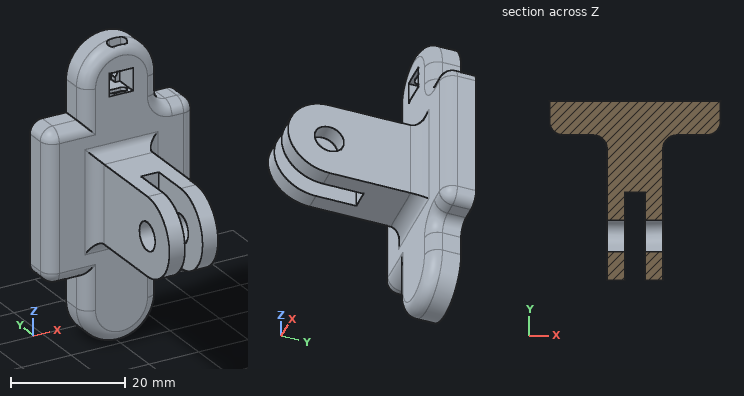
import cadquery as cq

total_height = 58.25
plate_size = 30.0
plate_thickness = 6.0
total_depth = 31.4

tab_radius = 7.7
tab_center_z = total_height / 2 - tab_radius
edge_radius = 2.45
inner_corner_radius = 2.5

arm_width = 9.85
arm_radius = 7.75
arm_hole_diameter = 5.5
arm_hole_y = -(total_depth - arm_radius)
arm_root_radius = 2.45
fork_gap = 3.55
fork_bottom_y = -16.0

pocket_width = 4.8
pocket_top_z = 23.65
pocket_bottom_z = 19.2
pocket_depth = 4.6
keyhole_diameter = 3.8
keyhole_slot_width = 2.8

channel_width = 3.85
channel_thickness = 1.6
channel_center_y = -4.515
channel_bottom_z = pocket_bottom_z - 0.7

tolerance = 0.005


def box_between(x_range, y_range, z_range):
    """Axis-aligned block between the given lower and upper limits."""
    lows, highs = zip(x_range, y_range, z_range)
    sizes = [high - low for low, high in zip(lows, highs)]
    return cq.Workplane("XY").box(*sizes, centered=False).translate(lows)


def centered_range(width):
    return (-width / 2, width / 2)


def make_plate():
    half = plate_size / 2
    plate = (
        cq.Workplane("XZ").rect(plate_size, plate_size).extrude(plate_thickness)
        .union(cq.Workplane("XZ").slot2D(total_height, 2 * tab_radius, 90).extrude(plate_thickness))
    )
    for z in (-half, half):
        inner_corner = cq.selectors.BoxSelector(
            (tab_radius - tolerance, -plate_thickness, z - tolerance),
            (tab_radius + tolerance, 0, z + tolerance),
        )
        plate = plate.edges(inner_corner).fillet(inner_corner_radius)
    outer_corners = cq.selectors.BoxSelector(
        (-half - tolerance, -plate_thickness, -half - tolerance),
        (-half + tolerance, 0, half + tolerance),
    ) + cq.selectors.BoxSelector(
        (half - tolerance, -plate_thickness, -half - tolerance),
        (half + tolerance, 0, half + tolerance),
    )
    along_y = cq.selectors.ParallelDirSelector(cq.Vector(0, 1, 0))
    corner_edges = cq.selectors.AndSelector(outer_corners, along_y)
    front_rim = cq.StringSyntaxSelector("<Y")
    return plate.edges(corner_edges + front_rim).fillet(edge_radius)


def add_arm(plate):
    arm = (
        cq.Workplane("YZ")
        .moveTo(-plate_thickness, -arm_radius)
        .lineTo(arm_hole_y, -arm_radius)
        .threePointArc((-total_depth, 0), (arm_hole_y, arm_radius))
        .lineTo(-plate_thickness, arm_radius)
        .close()
        .extrude(arm_width / 2, both=True)
    )
    body = plate.union(arm)
    root_edges = cq.selectors.BoxSelector(
        (-arm_width / 2 - tolerance, -plate_thickness - tolerance, -arm_radius - tolerance),
        (arm_width / 2 + tolerance, -plate_thickness + tolerance, arm_radius + tolerance),
    )
    return body.edges(root_edges).fillet(arm_root_radius)


def cut_fork(body):
    gap = box_between(
        centered_range(fork_gap), (-total_depth, fork_bottom_y), centered_range(2 * arm_radius)
    )
    pin_hole = (
        cq.Workplane("YZ").center(arm_hole_y, 0)
        .circle(arm_hole_diameter / 2).extrude(arm_width / 2, both=True)
    )
    return body.cut(gap).cut(pin_hole)


def cut_keyhole(body):
    pocket = box_between(
        centered_range(pocket_width),
        (-plate_thickness, pocket_depth - plate_thickness),
        (pocket_bottom_z, pocket_top_z),
    )
    head_hole = (
        cq.Workplane("XZ").center(0, tab_center_z)
        .circle(keyhole_diameter / 2).extrude(plate_thickness - pocket_depth)
    )
    neck = box_between(
        centered_range(keyhole_slot_width),
        (pocket_depth - plate_thickness, 0),
        (pocket_bottom_z, tab_center_z),
    )
    return body.cut(pocket).cut(head_hole).cut(neck)


def cut_channel(body):
    channel = (
        cq.Workplane("XY", origin=(0, channel_center_y, channel_bottom_z))
        .slot2D(channel_width, channel_thickness)
        .extrude(total_height / 2 - channel_bottom_z)
    )
    return body.cut(channel)


result = cut_channel(cut_keyhole(cut_fork(add_arm(make_plate()))))